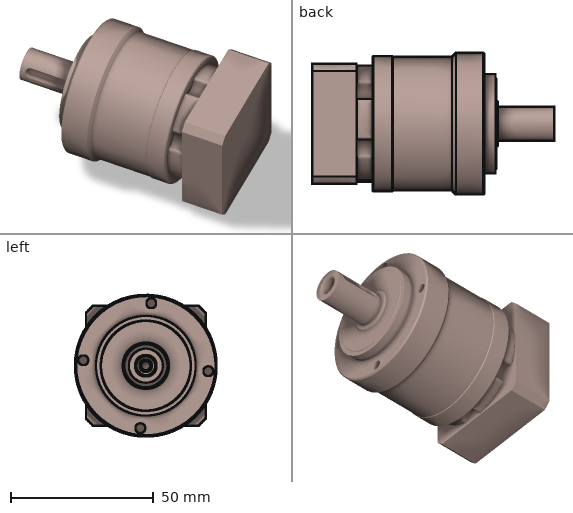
import cadquery as cq
import math

seal_front = 19.7
cover_front = 20.3
pilot_front = 20.5
flange_front = 24.4
flange_back = 34.5
cone_back = 35.9
housing_back = 56.6
collar_back = 63.7
plate_front = 69.3
plate_back = 84.8

assembly_turn = 5.0

shaft_diameter = 11.95
shaft_radius = shaft_diameter / 2
key_width = 3.9
key_start = 2.0
key_length = 15.9
key_floor = 3.05
key_turn = 22.5
recess_radius = 3.8
countersink_radius = 3.3
recess_depth = 0.3
clearance_radius = 2.2
clearance_end = 3.2
tap_radius = 1.6
tap_depth = 14.0
countersink_half_angle = 30.0
drill_half_angle = 59.0

seal_front_radius = 7.55
seal_back_radius = 8.1
cover_radius = 15.9
cover_chamfer = 0.2

pilot_radius = 17.5
flange_diameter = 49.8
flange_radius = flange_diameter / 2
flange_chamfer = 0.5
barrel_radius = 23.5
bolt_count = 4
bolt_circle_radius = 22.0
bolt_hole_diameter = 3.5
bolt_hole_depth = 10.0

collar_radius = 23.75
collar_chamfer = 0.3
drum_radius = 20.6
drum_chamfer = 0.25
notch_count = 6
notch_radius = 3.2
notch_centre_radius = 20.5
notch_lip_radius = 1.0

plate_size = 42.1
plate_corner = 2.55


def cylinder(start, end, radius):
    """Solid cylinder on the X axis between two stations."""
    return cq.Workplane("YZ").workplane(offset=start).circle(radius).extrude(end - start)


def revolved(profile):
    """Solid of revolution about X from (x, radius) points."""
    return cq.Workplane("XY").polyline(profile).close().revolve(360, (0, 0, 0), (1, 0, 0))


def turned(body, angle):
    """Body turned about X, from +Z towards -Y for a positive angle."""
    return body.rotate((0, 0, 0), (1, 0, 0), angle)


def make_centre_hole():
    countersink_step = countersink_radius - clearance_radius
    countersink_length = countersink_step / math.tan(math.radians(countersink_half_angle))
    tip_length = tap_radius / math.tan(math.radians(drill_half_angle))
    return revolved([
        (0, 0),
        (0, recess_radius),
        (recess_depth, countersink_radius),
        (recess_depth + countersink_length, clearance_radius),
        (clearance_end, clearance_radius),
        (clearance_end, tap_radius),
        (tap_depth, tap_radius),
        (tap_depth + tip_length, 0),
    ])


def make_keyway():
    slot = (
        cq.Workplane("XY")
        .workplane(offset=key_floor)
        .center(key_start + key_length / 2, 0)
        .slot2D(key_length, key_width)
        .extrude(shaft_radius)
    )
    return turned(slot, 90 - key_turn)


def make_shaft():
    return cylinder(0, flange_front, shaft_radius).cut(make_centre_hole()).cut(make_keyway())


def make_seal():
    return revolved([
        (seal_front, shaft_radius),
        (seal_front, seal_front_radius),
        (cover_front, seal_back_radius),
        (cover_front, shaft_radius),
    ])


def make_cover():
    disc = cylinder(cover_front, flange_front, cover_radius).faces("<X").chamfer(cover_chamfer)
    return disc.cut(cylinder(cover_front, flange_front, shaft_radius))


def make_housing():
    housing = revolved([
        (pilot_front, 0),
        (pilot_front, pilot_radius),
        (flange_front, pilot_radius),
        (flange_front, flange_radius - flange_chamfer),
        (flange_front + flange_chamfer, flange_radius),
        (flange_back, flange_radius),
        (cone_back, barrel_radius),
        (housing_back, barrel_radius),
        (housing_back, 0),
    ])
    housing = housing.cut(cylinder(pilot_front, flange_front, cover_radius))
    bolt_hole = cylinder(flange_front, flange_front + bolt_hole_depth, bolt_hole_diameter / 2)
    bolt_hole = bolt_hole.translate((0, 0, bolt_circle_radius))
    for i in range(bolt_count):
        housing = housing.cut(turned(bolt_hole, assembly_turn + i * 360 / bolt_count))
    return housing


def make_drum():
    blank = cylinder(collar_back, plate_front, drum_radius)
    drum = blank
    notch = cylinder(collar_back, plate_front, notch_radius).translate((0, 0, notch_centre_radius))
    for i in range(notch_count):
        drum = drum.cut(turned(notch, i * 360 / notch_count))
    chamfered_blank = blank.faces(">X").chamfer(drum_chamfer)
    return drum.edges("|X").fillet(notch_lip_radius).intersect(chamfered_blank)


def make_adapter():
    collar = cylinder(housing_back, collar_back, collar_radius).edges().chamfer(collar_chamfer)
    return collar.union(turned(make_drum(), assembly_turn))


def make_motor_plate():
    plate = cq.Workplane("YZ").workplane(offset=plate_front).rect(plate_size, plate_size)
    return plate.extrude(plate_back - plate_front).edges("|X").chamfer(plate_corner)


shaft = make_shaft()
seal = make_seal()
cover = make_cover()
housing = make_housing()
adapter = make_adapter()
motor_plate = make_motor_plate()

result = cq.Compound.makeCompound([
    shaft.val(),
    seal.val(),
    cover.val(),
    housing.val(),
    adapter.val(),
    motor_plate.val(),
])